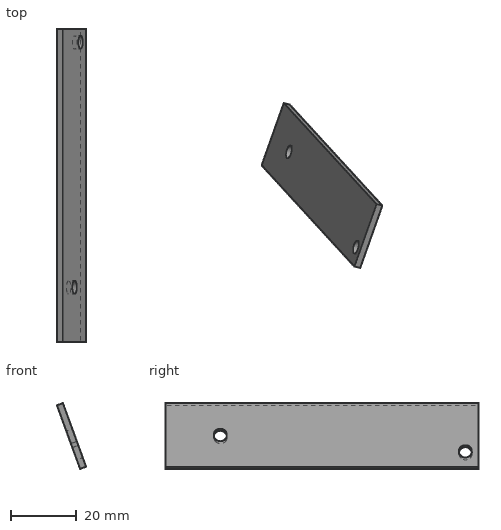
import cadquery as cq

length = 95
width = 20.6
thickness = 2.0
lean_angle = 20

hole_diameter = 4.0
end_hole_inset = 4.0
end_hole_height = 5.0
hole_spacing = 74.4

end_hole_y = length / 2 - end_hole_inset
hole_places = [
    (end_hole_y, end_hole_height - width / 2),
    (end_hole_y - hole_spacing, 0),
]

bar = cq.Workplane("YZ").rect(length, width).extrude(thickness / 2, both=True)
holes = (
    cq.Workplane("YZ")
    .pushPoints(hole_places)
    .circle(hole_diameter / 2)
    .extrude(thickness, both=True)
)

result = bar.cut(holes).rotate((0, 0, 0), (0, 1, 0), -lean_angle)